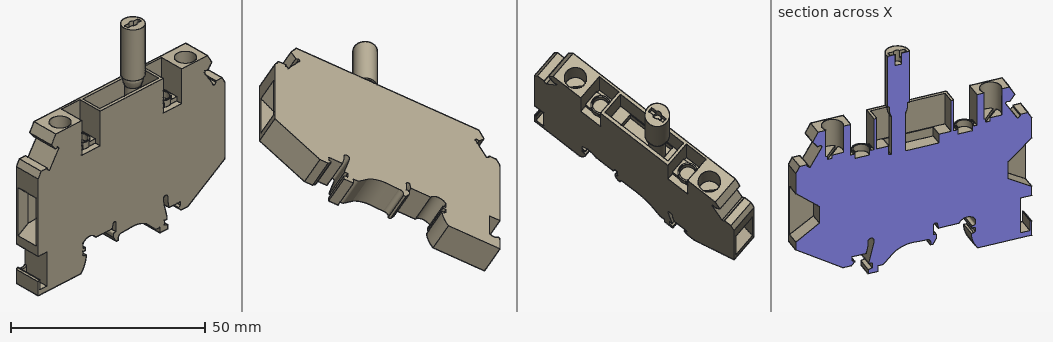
import cadquery as cq


thickness = 8.2
length = 66.5
body_height = 46.9
total_height = 65.0
mid_thickness = thickness / 2

shoulder_height = 35.85
shoulder_steps = [
    (1.05, 37.8),
    (3.25, 37.8),
    (3.25, 37.3),
    (4.0, 36.7),
    (7.4, 42.1),
    (7.05, 42.55),
    (6.2, 42.3),
    (4.7, 44.15),
    (6.25, body_height),
]

notch_depth = 3.05
notch_top = 12.1
notch_floor = 4.05
notch_floor_middle = (1.9, notch_floor)
lip_height = 4.7
lip_bevel = 0.4
lip_thickness = 0.6
notch_corner = 0.45
foot_groove_floor = 1.65

side_wall = 0.65

slope_top = 12.5
slope_foot = (53.2, 3.65)

screw_inset = 11.0
screw_x = 4.85
screw_radius = 2.85
screw_depth = 8.0
screw_slot_width = 0.8
screw_slot_depth = 1.0
screw_slot_angle = -45

bridge_inset = 18.75
bridge_pocket_length = 6.5
bridge_pocket_depth = 10.65
bar_width = 4.6
bar_height = 1.3
sleeve_radius = 2.5
sleeve_bore_radius = 2.1
sleeve_height = 2.0

centre_pocket_width = 6.3
centre_pocket_length = 20.95
centre_pocket_depth = 9.3
recess_width = 5.85
recess_length = 14.1
recess_depth = 2.65

plug_y = 37.6
plug_radius = 3.2
plug_collar_radius = 2.7
plug_nose_radius = 2.5
plug_stem_radius = 2.2
plug_shoulder = 49.35
collar_bottom = 48.2
nose_height = 47.15
nose_bottom = 46.35
key_radius = 1.05
key_slot_width = 1.25
key_slot_length = 4.7
key_slot_depth = 2.0
key_hole_depth = 3.3

entry_bottom = 14.95
entry_top = 29.65
entry_right = 7.4
entry_depth = 6.65
entry_end_left = 2.45
entry_end_right = 7.2
entry_end_bottom = 19.1
entry_end_top = 24.0
entry_straight_depth = 3.6


def housing():
    """Side outline, traced from the front foot corner round to the rail foot, extruded through X."""
    outline = (
        cq.Workplane("YZ")
        .moveTo(0, 0)
        .lineTo(0, lip_height - lip_bevel)
        .lineTo(lip_bevel, lip_height)
        .lineTo(lip_thickness, lip_height)
        .threePointArc(notch_floor_middle, (notch_depth, notch_floor + notch_corner))
        .lineTo(notch_depth, notch_top)
        .lineTo(0, notch_top)
        .lineTo(0, shoulder_height)
    )
    for inset, height in shoulder_steps:
        outline = outline.lineTo(inset, height)
    for inset, height in reversed(shoulder_steps):
        outline = outline.lineTo(length - inset, height)
    outline = (
        outline
        .lineTo(length, shoulder_height)
        .lineTo(length, slope_top)
        .lineTo(*slope_foot)
        .lineTo(50.8, 3.65)
        .lineTo(49.9, 4.6)
        .lineTo(49.9, 4.85)
        .lineTo(50.6, 5.25)
        .lineTo(50.6, 6.3)
        .lineTo(46.55, 6.3)
        .lineTo(46.1, 8.65)
        .lineTo(46.1, 10.0)
        .threePointArc((45.3, 10.65), (44.5, 10.0))
        .lineTo(44.5, 9.45)
        .lineTo(45.9, 3.65)
        .lineTo(45.9, 3.05)
        .lineTo(44.95, 3.05)
        .lineTo(44.95, 1.65)
        .lineTo(46.1, 1.3)
        .lineTo(46.1, 0)
        .lineTo(43.3, 0)
        .lineTo(43.3, 1.7)
        .lineTo(42.3, 1.7)
        .threePointArc((41.9, 1.8), (41.55, 2.0))
        .lineTo(38.9, 4.6)
        .threePointArc((36.6, 5.85), (32.6, 6.25))
        .lineTo(29.85, 6.1)
        .threePointArc((28.85, 5.85), (28.5, 5.2))
        .lineTo(28.5, 4.3)
        .lineTo(27.8, 4.3)
        .lineTo(26.8, 6.0)
        .lineTo(26.8, 7.0)
        .threePointArc((26.9, 7.25), (27.2, 7.4))
        .lineTo(27.65, 7.4)
        .lineTo(27.65, 10.1)
        .threePointArc((27.1, 10.65), (26.6, 10.1))
        .lineTo(26.35, 8.85)
        .lineTo(20.5, 8.85)
        .threePointArc((18.35, 10.2), (15.95, 8.9))
        .lineTo(15.95, 7.7)
        .threePointArc((16.1, 7.45), (16.35, 7.3))
        .lineTo(16.9, 7.3)
        .lineTo(16.9, 6.45)
        .lineTo(15.95, 6.45)
        .lineTo(15.95, 5.3)
        .lineTo(16.35, 5.0)
        .lineTo(17.1, 5.0)
        .lineTo(17.1, 4.2)
        .threePointArc((16.55, 2.2), (15.2, 0))
        .close()
    )
    return outline.extrude(thickness)


def block(x_start, x_size, y_centre, y_size, z_bottom, z_size):
    """Box placed by its -X side, its middle along Y and its bottom."""
    return (
        cq.Workplane("XY", origin=(x_start, y_centre, z_bottom))
        .box(x_size, y_size, z_size, centered=(False, True, False))
    )


def cylinder(x, y, z_bottom, radius, height):
    return cq.Workplane("XY", origin=(x, y, z_bottom)).circle(radius).extrude(height)


def screw_hole(y):
    """Cutter for a screw shaft whose floor is a slotted screw head."""
    head_level = body_height - screw_depth
    shaft = cylinder(screw_x, y, head_level, screw_radius, screw_depth)
    slot = (
        cq.Workplane("XY", origin=(screw_x, y, head_level - screw_slot_depth))
        .transformed(rotate=(0, 0, screw_slot_angle))
        .rect(2 * screw_radius, screw_slot_width)
        .extrude(screw_slot_depth)
    )
    slot = slot.intersect(cylinder(screw_x, y, head_level - screw_slot_depth, screw_radius, screw_slot_depth))
    return shaft.union(slot)


def bridge_pocket(y):
    """Cutter for an open pocket, leaving a raised bar that carries a bored sleeve."""
    floor = body_height - bridge_pocket_depth
    pocket = block(side_wall, thickness - side_wall, y, bridge_pocket_length, floor, bridge_pocket_depth)
    bar = block(mid_thickness - bar_width / 2, bar_width, y, bridge_pocket_length, floor, bar_height)
    sleeve = cylinder(mid_thickness, y, floor, sleeve_radius, sleeve_height)
    bore = cylinder(mid_thickness, y, floor, sleeve_bore_radius, sleeve_height)
    return pocket.cut(bar).cut(sleeve).union(bore)


def centre_pocket():
    """Cutter for the central pocket with a smaller recess in its floor."""
    floor = body_height - centre_pocket_depth
    pocket = block(
        mid_thickness - centre_pocket_width / 2, centre_pocket_width,
        length / 2, centre_pocket_length, floor, centre_pocket_depth,
    )
    recess = block(
        mid_thickness - recess_width / 2, recess_width,
        length / 2, recess_length, floor - recess_depth, recess_depth,
    )
    return pocket.union(recess)


def foot_groove():
    """Cutter that deepens the foot notch behind the lip, leaving the side web, open toward +X."""
    groove_length = notch_depth - lip_thickness
    return block(
        side_wall, thickness - side_wall,
        lip_thickness + groove_length / 2, groove_length,
        foot_groove_floor, lip_height - foot_groove_floor,
    )


def wire_entry():
    """Cutter for the front funnel: top, bottom and +X walls converge, the -X wall bends inward partway."""
    side_wedge = (
        cq.Workplane("XY", origin=(0, 0, entry_bottom))
        .moveTo(side_wall, 0)
        .lineTo(side_wall, entry_straight_depth)
        .lineTo(entry_end_left, entry_depth)
        .lineTo(entry_end_right, entry_depth)
        .lineTo(entry_right, 0)
        .close()
        .extrude(entry_top - entry_bottom)
    )
    height_wedge = (
        cq.Workplane("YZ")
        .moveTo(0, entry_bottom)
        .lineTo(entry_depth, entry_end_bottom)
        .lineTo(entry_depth, entry_end_top)
        .lineTo(0, entry_top)
        .close()
        .extrude(thickness)
    )
    return side_wedge.intersect(height_wedge)


def test_plug():
    """Turned plug standing on the recess floor, with a keyhole in its top."""
    base = body_height - centre_pocket_depth - recess_depth
    plug = (
        cq.Workplane("XZ", origin=(mid_thickness, plug_y, 0))
        .moveTo(0, base)
        .lineTo(plug_stem_radius, base)
        .lineTo(plug_stem_radius, nose_bottom)
        .threePointArc((plug_nose_radius, nose_height), (plug_collar_radius, collar_bottom))
        .lineTo(plug_collar_radius, plug_shoulder)
        .lineTo(plug_radius, plug_shoulder)
        .lineTo(plug_radius, total_height)
        .lineTo(0, total_height)
        .close()
        .revolve(360, (0, 0, 0), (0, 1, 0))
    )
    key_hole = cylinder(mid_thickness, plug_y, total_height - key_hole_depth, key_radius, key_hole_depth)
    key_slot = block(
        mid_thickness - key_slot_width / 2, key_slot_width,
        plug_y, key_slot_length, total_height - key_slot_depth, key_slot_depth,
    )
    return plug.cut(key_hole).cut(key_slot)


body = housing().cut(centre_pocket()).cut(foot_groove())
for screw_y in (screw_inset, length - screw_inset):
    body = body.cut(screw_hole(screw_y))
for bridge_y in (bridge_inset, length - bridge_inset):
    body = body.cut(bridge_pocket(bridge_y))

front_entry = wire_entry()
rear_entry = front_entry.mirror("XZ", (0, length / 2, 0))
body = body.cut(front_entry).cut(rear_entry)

result = body.union(test_plug())